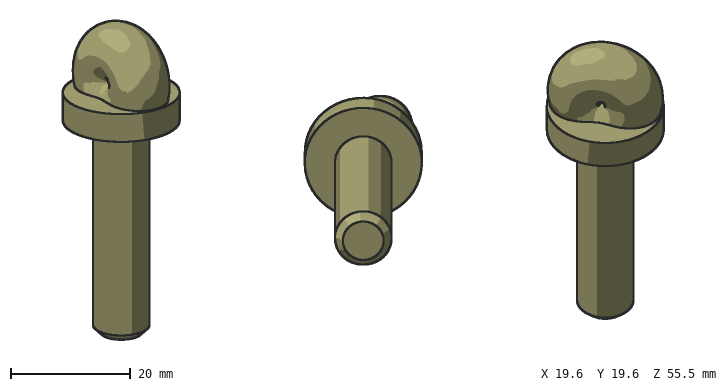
import cadquery as cq

total_height = 55.45
collar_diameter = 19.55
collar_thickness = 5.0
shank_diameter = 9.5
shank_length = 38.15
tip_chamfer = 1.35
loop_tube_diameter = 10.1
loop_outer_radius = 9.75

collar_top = shank_length + collar_thickness
loop_center_height = total_height - loop_outer_radius
tube_radius = loop_tube_diameter / 2
loop_bend_radius = loop_outer_radius - tube_radius


def make_shank():
    shank = cq.Workplane("XY").circle(shank_diameter / 2).extrude(shank_length)
    return shank.faces("<Z").chamfer(tip_chamfer)


def make_collar():
    return (
        cq.Workplane("XY")
        .workplane(offset=shank_length)
        .circle(collar_diameter / 2)
        .extrude(collar_thickness)
    )


def make_loop():
    """Closed ring about the Y axis, cut off where it meets the collar."""
    axis_half_width = (tube_radius**2 - loop_bend_radius**2) ** 0.5
    ring = (
        cq.Workplane("XY")
        .moveTo(0, -axis_half_width)
        .threePointArc((loop_outer_radius, 0), (0, axis_half_width))
        .close()
        .revolve(360, (0, 0, 0), (0, 1, 0))
        .translate((0, 0, loop_center_height))
    )
    keep_height = total_height - collar_top
    keep = (
        cq.Workplane("XY")
        .workplane(offset=collar_top)
        .rect(collar_diameter, collar_diameter)
        .extrude(keep_height)
    )
    return ring.intersect(keep)


result = make_shank().union(make_collar()).union(make_loop())